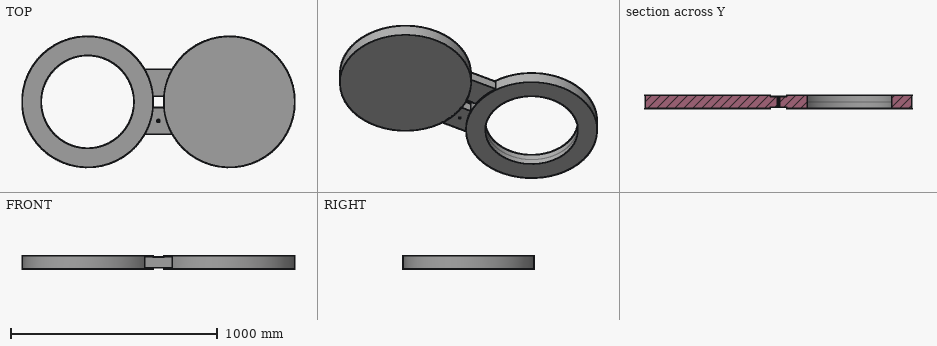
import cadquery as cq

total_length = 1321.0
plate_diameter = 635.0
plate_thickness = 66.0
bore_diameter = 448.0

bar_thickness = 53.0
bars_outer_width = 316.0
slot_width = 54.0

hole_diameter = 8.0
countersink_diameter = 15.0
countersink_angle = 90

plate_offset = (total_length - plate_diameter) / 2
bar_width = (bars_outer_width - slot_width) / 2
bar_offset = (slot_width + bar_width) / 2


def plate(center_x):
    """Solid round plate centred at the given X, mid-plane at Z = 0."""
    return (
        cq.Workplane("XY")
        .center(center_x, 0)
        .circle(plate_diameter / 2)
        .extrude(plate_thickness / 2, both=True)
    )


def bar(center_y):
    """Bar running between the plate centres, with its ends inside the plates."""
    return (
        cq.Workplane("XY")
        .center(0, center_y)
        .box(2 * plate_offset, bar_width, bar_thickness)
    )


body = plate(-plate_offset).union(plate(plate_offset))

for side in (-1, 1):
    body = body.union(bar(side * bar_offset))

bore = (
    cq.Workplane("XY")
    .center(-plate_offset, 0)
    .circle(bore_diameter / 2)
    .extrude(plate_thickness / 2, both=True)
)
body = body.cut(bore)

result = (
    body.copyWorkplane(cq.Workplane("XY", origin=(0, -bar_offset, bar_thickness / 2)))
    .cskHole(hole_diameter, countersink_diameter, countersink_angle)
)